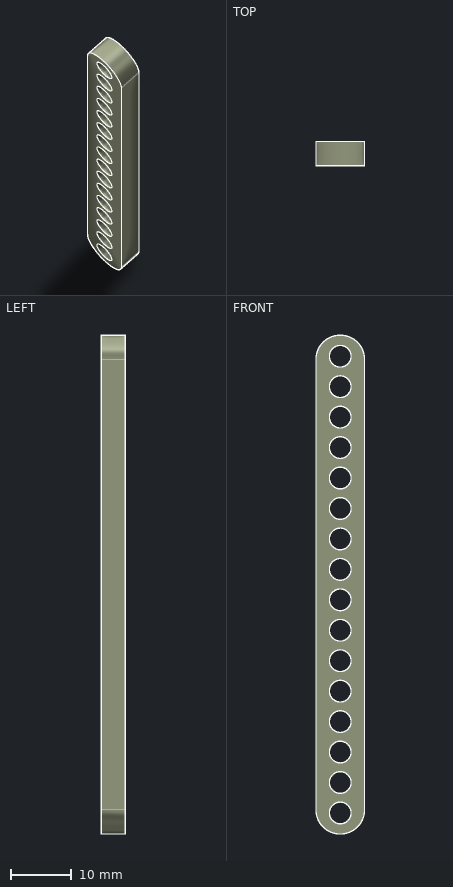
import cadquery as cq

length = 82.0
width = 8.0
thickness = 4.0
hole_diameter = 3.5
hole_count = 16
hole_pitch = 5.0

back_face = cq.Workplane("XZ", origin=(0, thickness / 2, 0))
bar = back_face.slot2D(length, width, 90).extrude(thickness)

holes = (
    back_face
    .rarray(0.8, hole_pitch, 1, hole_count)
    .circle(hole_diameter / 2)
    .extrude(thickness)
)

result = bar.cut(holes)